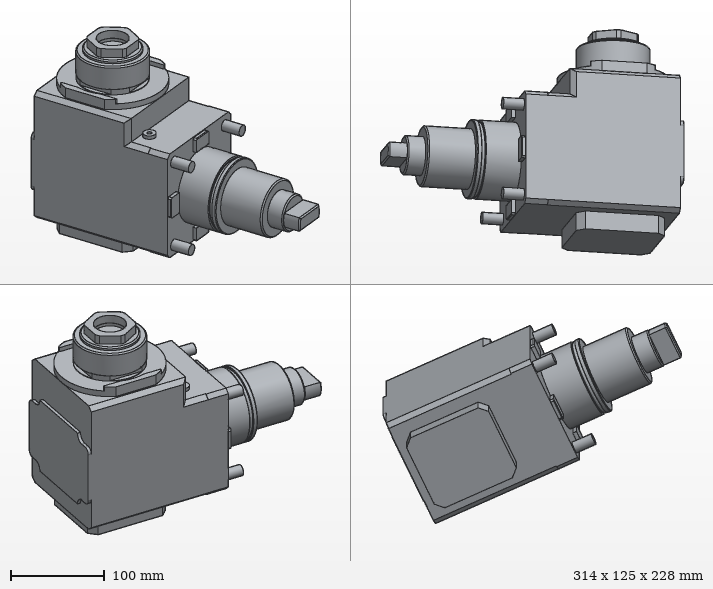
import cadquery as cq


rear_x = -59.7
step_x = 60.3
front_x = 110.0
half_width = 62.5
bottom_z = -62.2
step_z = 62.8
top_z = 91.0
chamfer_side = 5.5
front_chamfer_side = 4.7
front_chamfer_start_x = 85.0
chamfer_height = 4.7

cover_thickness = 3.8
cover_center_z = 5.5
cover_half_height = 44.0
shoulder_half_height = 35.0
neck_half_width = 40.0
cover_notch_radius = 8.8
cover_corner_radius = 6.3

foot_length = 96.7
foot_width = 86.7
foot_height = 19.8
foot_corner = 8.5

flange_radius = 60.0
flange_half_width = 54.5
flange_top_z = 98.0
lug_top_z = 103.0
lug_inner_y = 46.5
lug_half_length = 35.2
lug_bore_radius = 48.7

neck_radius = 39.2
neck_across_flats = 67.8
neck_ring_height = 0.5
nut_radius = 39.5
nut_bottom_z = 104.5
nut_top_z = 132.0
nut_chamfer = 1.5
collar_radius = 32.3
collar_top_radius = 30.8
collar_top_z = 135.5
hex_across_flats = 50.2
hex_corner_radius = 27.5
hex_top_z = 146.0
socket_radius = 17.5
socket_depth = 9.5
socket_floor_radius = 17.3
socket_floor_depth = 13.0

screw_x = 69.5
screw_y = -35.2
screw_radius = 7.2
screw_height = 4.0
screw_socket_radius = 2.5
screw_socket_depth = 2.5

shank_radius = 42.5
groove_start_x = 148.5
groove_end_x = 153.2
groove_radius = 40.2
o_ring_section_radius = 2.0
o_ring_outer_radius = 41.8
shank_end_x = 158.3
shank_chamfer = 1.0
shaft_radius = 32.5
shaft_end_x = 210.0
journal_radius = 21.0
journal_end_x = 230.0
edge_chamfer = 1.5
tang_end_x = 250.5
tang_thickness = 16.3
tang_radius = 20.5

pin_offset = 50.0
pin_radius = 6.3
pin_end_x = 132.5
key_width = 24.5
key_end_x = 114.3
key_inner = 45.5
key_outer = 62.0
key_corner_chamfer = 2.0
key_front_chamfer = 1.0


def housing_bar(start_x, end_x, bar_top_z, side):
    """Bar along X with its four long edges chamfered by `side` in Y."""
    inner_y = half_width - side
    low_z = bottom_z + chamfer_height
    high_z = bar_top_z - chamfer_height
    outline = [
        (-inner_y, bottom_z), (inner_y, bottom_z),
        (half_width, low_z), (half_width, high_z),
        (inner_y, bar_top_z), (-inner_y, bar_top_z),
        (-half_width, high_z), (-half_width, low_z),
    ]
    return cq.Workplane("YZ", origin=(start_x, 0, 0)).polyline(outline).close().extrude(end_x - start_x)


def cylinder_z(radius, low_z, high_z):
    return cq.Workplane("XY", origin=(0, 0, low_z)).circle(radius).extrude(high_z - low_z)


def cylinder_x(radius, start_x, end_x):
    return cq.Workplane("YZ", origin=(start_x, 0, 0)).circle(radius).extrude(end_x - start_x)


def housing():
    block = housing_bar(rear_x, step_x, top_z, chamfer_side)
    plan = (
        cq.Workplane("XY", origin=(0, 0, bottom_z))
        .center((rear_x + step_x) / 2, 0)
        .rect(step_x - rear_x, 2 * half_width)
        .extrude(top_z - bottom_z)
        .edges("|Z and >X")
        .chamfer(chamfer_side)
    )
    lower_bar = housing_bar(rear_x, front_chamfer_start_x, step_z, chamfer_side)
    front_bar = housing_bar(front_chamfer_start_x, front_x, step_z, front_chamfer_side)
    return block.intersect(plan).union(lower_bar).union(front_bar)


def cover_plate():
    def band(half_y, half_z):
        return (
            cq.Workplane("YZ", origin=(rear_x, 0, cover_center_z))
            .rect(2 * half_y, 2 * half_z)
            .extrude(-cover_thickness)
        )

    wide = band(half_width, shoulder_half_height).edges("|X").fillet(cover_corner_radius)
    plate = wide.union(band(neck_half_width, cover_half_height))
    margin = 3.0
    reach_y = neck_half_width + margin
    reach_z = shoulder_half_height + margin
    near_notches = cq.selectors.BoxSelector(
        (rear_x - cover_thickness, -reach_y, cover_center_z - reach_z),
        (rear_x, reach_y, cover_center_z + reach_z),
    )
    return plate.edges("|X").edges(near_notches).fillet(cover_notch_radius)


def foot():
    return (
        cq.Workplane("XY", origin=(0, 0, bottom_z))
        .rect(foot_length, foot_width)
        .extrude(-foot_height)
        .edges("|Z")
        .chamfer(foot_corner)
    )


def flange():
    disc = cylinder_z(flange_radius, top_z, lug_top_z)
    flats = cq.Workplane("XY").box(2 * flange_radius, 2 * flange_half_width, 2 * lug_top_z)
    lug_height = lug_top_z - flange_top_z
    lug_level = cq.Workplane("XY", origin=(0, 0, flange_top_z))
    lugs = (
        lug_level.rect(2 * lug_half_length, 2 * flange_half_width).extrude(lug_height)
        .cut(lug_level.rect(2 * flange_radius, 2 * lug_inner_y).extrude(lug_height))
        .cut(cylinder_z(lug_bore_radius, flange_top_z, lug_top_z))
    )
    rim = cylinder_z(flange_radius, top_z, flange_top_z)
    return disc.intersect(flats).intersect(rim.union(lugs))


def spindle():
    ring = cylinder_z(neck_radius, top_z, flange_top_z + neck_ring_height)
    neck_flats = cq.Workplane("XY").box(neck_across_flats, neck_across_flats, 2 * hex_top_z)
    neck = cylinder_z(neck_radius, top_z, nut_bottom_z).intersect(neck_flats)
    nut = cylinder_z(nut_radius, nut_bottom_z, nut_top_z).faces(">Z").chamfer(nut_chamfer)
    collar = cylinder_z(collar_radius, nut_top_z, collar_top_z)
    collar = collar.faces(">Z").chamfer(collar_radius - collar_top_radius)
    hexagon = (
        cq.Workplane("XY", origin=(0, 0, collar_top_z))
        .polygon(6, hex_across_flats, circumscribed=True)
        .extrude(hex_top_z - collar_top_z)
        .intersect(cylinder_z(hex_corner_radius, collar_top_z, hex_top_z))
    )
    socket = cylinder_z(socket_radius, hex_top_z - socket_depth, hex_top_z)
    socket = socket.union(cylinder_z(socket_floor_radius, hex_top_z - socket_floor_depth, hex_top_z))
    return ring.union(neck).union(nut).union(collar).union(hexagon).cut(socket)


def step_screw():
    return (
        cq.Workplane("XY", origin=(screw_x, screw_y, step_z))
        .circle(screw_radius)
        .extrude(screw_height)
        .faces(">Z")
        .workplane()
        .hole(2 * screw_socket_radius, screw_socket_depth)
    )


def shank():
    body = cylinder_x(shank_radius, front_x, groove_start_x)
    groove = cylinder_x(groove_radius, groove_start_x, groove_end_x)
    o_ring_center_radius = o_ring_outer_radius - o_ring_section_radius
    o_ring = (
        cq.Workplane("XY")
        .center(groove_end_x - o_ring_section_radius, o_ring_center_radius)
        .circle(o_ring_section_radius)
        .revolve(360, (0, -o_ring_center_radius), (1, -o_ring_center_radius))
    )
    ring = cylinder_x(shank_radius, groove_end_x, shank_end_x).faces(">X").chamfer(shank_chamfer)
    shaft = cylinder_x(shaft_radius, shank_end_x, shaft_end_x).faces(">X").chamfer(edge_chamfer)
    journal = cylinder_x(journal_radius, shaft_end_x, journal_end_x).faces(">X").chamfer(edge_chamfer)
    tang_flats = cq.Workplane("XY").box(2 * tang_end_x, 2 * tang_radius, tang_thickness)
    tang = (
        cylinder_x(tang_radius, journal_end_x, tang_end_x)
        .intersect(tang_flats)
        .faces(">X")
        .chamfer(edge_chamfer)
    )
    return body.union(groove).union(o_ring).union(ring).union(shaft).union(journal).union(tang)


def pins():
    return (
        cq.Workplane("YZ", origin=(front_x, 0, 0))
        .rect(2 * pin_offset, 2 * pin_offset, forConstruction=True)
        .vertices()
        .circle(pin_radius)
        .extrude(pin_end_x - front_x)
    )


def keys():
    key = (
        cq.Workplane("YZ", origin=(front_x, 0, (key_inner + key_outer) / 2))
        .rect(key_width, key_outer - key_inner)
        .extrude(key_end_x - front_x)
        .edges("|X and >Z")
        .chamfer(key_corner_chamfer)
        .edges(">X and >Z")
        .chamfer(key_front_chamfer)
    )
    key_set = key
    for quarter in range(1, 4):
        key_set = key_set.union(key.rotate((0, 0, 0), (1, 0, 0), 90 * quarter))
    return key_set


result = housing()
for feature in (cover_plate, foot, flange, spindle, step_screw, shank, pins, keys):
    result = result.union(feature())